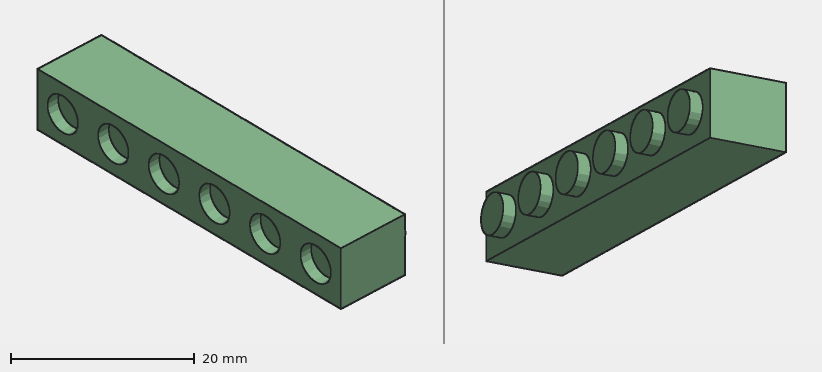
import cadquery as cq

STUD_COUNT = 6
PITCH = 8.0
BODY_DEPTH = 9.6
STUD_DIAMETER = 4.8
STUD_HEIGHT = 1.6
SOCKET_DEPTH = STUD_HEIGHT

BODY_LENGTH = STUD_COUNT * PITCH
BODY_HEIGHT = PITCH


def make_body():
    """Block with X from zero, the socket face at Y = 0 and Z from zero."""
    return cq.Workplane("XY").box(BODY_LENGTH, BODY_DEPTH, BODY_HEIGHT, centered=False)


def cylinder_row(start_y, length):
    """Row of stud-sized cylinders running from start_y toward +Y, one per pitch."""
    centers = [((i + 0.5) * PITCH, BODY_HEIGHT / 2) for i in range(STUD_COUNT)]
    return (
        cq.Workplane("XZ")
        .workplane(offset=-start_y)
        .pushPoints(centers)
        .circle(STUD_DIAMETER / 2)
        .extrude(-length)
    )


studs = cylinder_row(BODY_DEPTH, STUD_HEIGHT)
sockets = cylinder_row(0, SOCKET_DEPTH)

result = make_body().union(studs).cut(sockets)